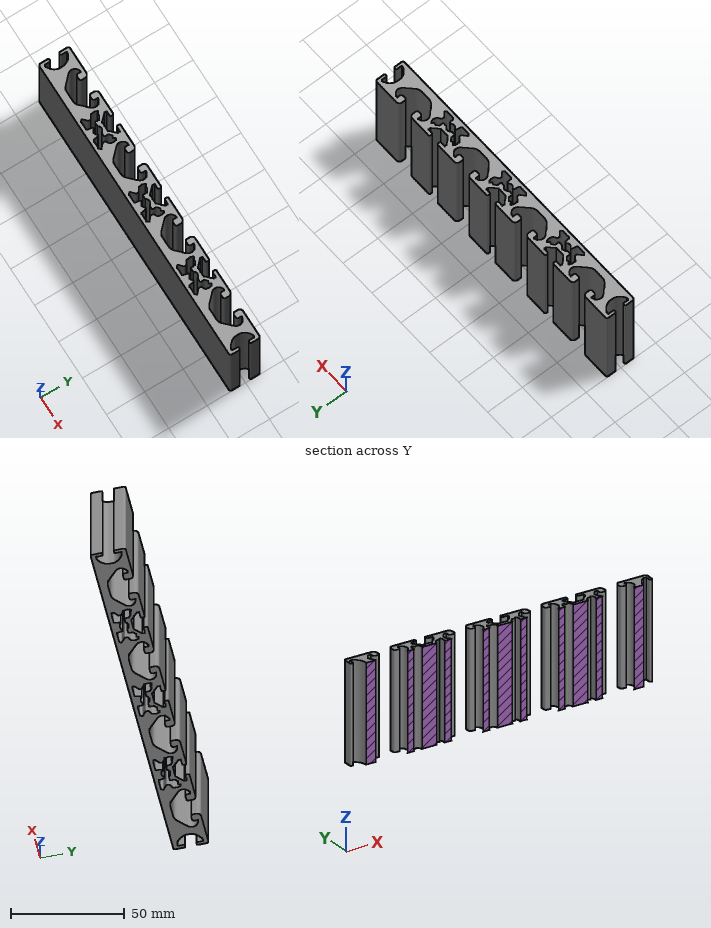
import cadquery as cq
import math


LENGTH = 160.0
THICKNESS = 16.0
HEIGHT = 50.0
CORNER_RADIUS = 1.0
TOP_FACE = THICKNESS / 2
RIGHT_FACE = LENGTH / 2

MODULE = 40.0
LARGE_SLOT_COUNT = 4
SMALL_SLOT_COUNT = LARGE_SLOT_COUNT - 1

LARGE_MOUTH_HALF = 3.75
HOOK_WIDTH = 3.4
HOOK_DEPTH = 4.4
HOOK_TOP_RADIUS = 1.8
HOOK_TIP_RADIUS = 1.0
LARGE_FLOOR_DEPTH = 12.1
LARGE_FLOOR_RADIUS = 4.5
LARGE_FLANK_ANGLE = 45.0
LARGE_LOBE_RADIUS = 3.0
LARGE_LIP = 1.9

LIP_RADIUS = 0.55

SMALL_MOUTH_HALF = 2.6
SMALL_LIP = 1.9
SMALL_INNER_HALF = 5.6
SMALL_WALL_END_DEPTH = 3.1
SMALL_FLOOR_HALF = 2.4
SMALL_FLOOR_DEPTH = 6.3

END_MOUTH_HALF = 2.6
END_LIP = 1.55
END_INNER_HALF = 5.75
END_WALL_END_DEPTH = 2.7
END_FLANK_MIDDLE = (4.1, 4.95)
END_FLOOR_HALF = 1.25
END_FLOOR_DEPTH = 6.4

BORE_RADIUS = 2.0
BORE_DEPTH = 10.0
CHAMBER_RADIUS = 0.4
CHAMBER_HALF_SECTION = [
    (4.0, 9.1),
    (4.0, 6.9),
    (5.4, 5.7),
    (6.8, 6.2),
    (7.0, 5.1),
    (7.8, 5.2),
    (8.3, 6.7),
    (8.0, 8.7),
    (6.0, 9.9),
    (6.0, 11.2),
    (8.3, 13.2),
    (7.5, 14.1),
    (2.8, 14.1),
    (2.3, 11.1),
]


def mirrored(half_section):
    """Close a half section with its mirror image across the groove axis."""
    return half_section + [(-u, d) for u, d in reversed(half_section)]


def prism(points):
    """Extrude a closed (half width, depth) polygon over the full height, depth along -Y."""
    return cq.Workplane("XY").polyline([(u, -d) for u, d in points]).close().extrude(HEIGHT)


def body():
    block = cq.Workplane("XY").box(LENGTH, THICKNESS, HEIGHT, centered=(True, True, False))
    return block.edges("|Z").fillet(CORNER_RADIUS)


def large_slot():
    """Undercut slot with round lobes, sloping flanks and a flat floor."""
    hook_back = LARGE_MOUTH_HALF + HOOK_WIDTH
    lobe_depth = LARGE_LIP + LARGE_LOBE_RADIUS
    flank = math.radians(LARGE_FLANK_ANGLE)
    flank_u = hook_back + LARGE_LOBE_RADIUS * math.cos(flank)
    flank_d = lobe_depth + LARGE_LOBE_RADIUS * math.sin(flank)
    floor_corner = flank_u - (LARGE_FLOOR_DEPTH - flank_d) / math.tan(flank)
    pocket = prism(mirrored([
        (hook_back, lobe_depth),
        (flank_u, flank_d),
        (floor_corner, LARGE_FLOOR_DEPTH),
    ]))
    pocket = pocket.edges("|Z and <Y").fillet(LARGE_FLOOR_RADIUS)
    lobes = (
        cq.Workplane("XY")
        .pushPoints([(-hook_back, -lobe_depth), (hook_back, -lobe_depth)])
        .circle(LARGE_LOBE_RADIUS)
        .extrude(HEIGHT)
    )
    opening = prism(mirrored([(hook_back, 0), (hook_back, lobe_depth)]))
    slot = pocket.union(lobes).union(opening)
    for side in (-1, 1):
        slot = slot.cut(hook(side))
    return slot


def hook(side):
    """Lip hanging beside the large slot's mouth, with a rounded free end."""
    inner = LARGE_MOUTH_HALF
    outer = LARGE_MOUTH_HALF + HOOK_WIDTH
    tip = prism([
        (side * inner, 0),
        (side * outer, 0),
        (side * outer, HOOK_DEPTH),
        (side * inner, HOOK_DEPTH),
    ])
    mouth_side = "<X" if side > 0 else ">X"
    tip = tip.edges("|Z and <Y").fillet(HOOK_TIP_RADIUS)
    return tip.edges(f"|Z and >Y and {mouth_side}").fillet(HOOK_TOP_RADIUS)


def lip_edge(mouth_half, lip):
    """Start a half groove outline: from the axis, around a lip's rounded end to its inner side."""
    inset = LIP_RADIUS * (1 - math.sqrt(0.5))
    rounded_half = mouth_half + LIP_RADIUS
    return (
        cq.Workplane("XY")
        .lineTo(rounded_half, 0)
        .threePointArc((mouth_half + inset, -inset), (mouth_half, -LIP_RADIUS))
        .lineTo(mouth_half, LIP_RADIUS - lip)
        .threePointArc((mouth_half + inset, inset - lip), (rounded_half, -lip))
    )


def whole_groove(half_outline, floor_depth):
    """Close a half outline along the groove axis, extrude it and add its mirror image."""
    half = half_outline.lineTo(0, -floor_depth).close().extrude(HEIGHT)
    return half.union(half.mirror("YZ"))


def small_slot():
    outline = (
        lip_edge(SMALL_MOUTH_HALF, SMALL_LIP)
        .lineTo(SMALL_INNER_HALF, -SMALL_LIP)
        .lineTo(SMALL_INNER_HALF, -SMALL_WALL_END_DEPTH)
        .lineTo(SMALL_FLOOR_HALF, -SMALL_FLOOR_DEPTH)
    )
    return whole_groove(outline, SMALL_FLOOR_DEPTH)


def end_slot():
    flank_u, flank_d = END_FLANK_MIDDLE
    outline = (
        lip_edge(END_MOUTH_HALF, END_LIP)
        .lineTo(END_INNER_HALF, -END_LIP)
        .lineTo(END_INNER_HALF, -END_WALL_END_DEPTH)
        .threePointArc((flank_u, -flank_d), (END_FLOOR_HALF, -END_FLOOR_DEPTH))
    )
    return whole_groove(outline, END_FLOOR_DEPTH)


def chamber():
    branches = prism(mirrored(CHAMBER_HALF_SECTION)).edges("|Z").fillet(CHAMBER_RADIUS)
    bore = cq.Workplane("XY").center(0, -BORE_DEPTH).circle(BORE_RADIUS).extrude(HEIGHT)
    return branches.union(bore)


def row_positions(count):
    """X positions of a centred row of grooves on the module pitch."""
    return [(i - (count - 1) / 2) * MODULE for i in range(count)]


result = body()

for x in row_positions(LARGE_SLOT_COUNT):
    result = result.cut(large_slot().translate((x, TOP_FACE, 0)))

for x in row_positions(SMALL_SLOT_COUNT):
    result = result.cut(small_slot().translate((x, TOP_FACE, 0)))
    result = result.cut(chamber().translate((x, TOP_FACE, 0)))

for turn, x in ((-90, RIGHT_FACE), (90, -RIGHT_FACE)):
    turned_slot = end_slot().rotate((0, 0, 0), (0, 0, 1), turn)
    result = result.cut(turned_slot.translate((x, 0, 0)))